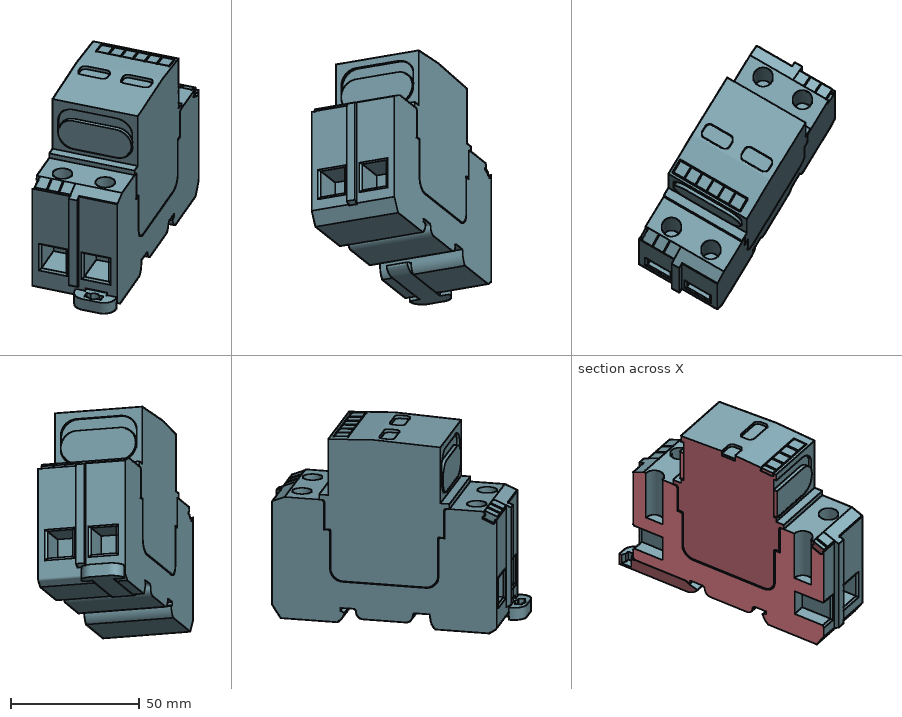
import cadquery as cq
import math

WIDTH = 35.6
POLE_PITCH = 17.8
POLE_OFFSET = POLE_PITCH / 2

FACE_Y = 45.0
HOUSING_TOP = 49.8
CHAMFER_START_Y = 39.9
CHAMFER_SLOPE = 0.41
CORNER_CUT = 0.2
RAIL_TOP = 6.0
RAIL_PAD_Z = 2.0
RAIL_PAD_HALF = 8.6
RAIL_PAD_SIDE_Y = 11.3
RAIL_PAD_SIDE_Z = 4.9
RAIL_PAD_ROOT_Y = 12.6
PAD_FLANK_MID = (10.5, 2.9)
PAD_FILLET_MID = (11.7, 5.7)
CLAW_WALL_Y = 17.5
CLAW_SHELF_Z = 4.8
CLAW_TIP = (16.0, 4.0)
CLAW_CURVE_MID = (17.1, 1.5)
CLAW_FOOT_Y = 18.7
CLIP_SIDE_WALL_Y = -18.1
CLIP_SIDE_EDGE = (-18.4, 4.1)
CLIP_SIDE_CURVE_MID = (-19.0, 2.0)
CLIP_SIDE_FOOT_Y = -20.5
BACK_BEVEL_Y = 41.5
BACK_BEVEL_Z = 5.4
FRONT_BEVEL_LENGTH = 3.0
FRONT_BEVEL_HEIGHT = 2.1
FRONT_BEVEL_BLEND = 0.6

RIB_WIDTH = 3.4
RIB_Y = 47.0
RIB_TIP_Z = {"front": 7.0, "back": 6.1}
RIB_UNDERCUT = 1.1
RIB_ROOT_DEPTH = 1.0

SCREW_HOLE_D = 7.7
SCREW_HOLE_Y = 35.0
SCREW_HOLE_DEPTH = 21.7
WIRE_MOUTH_W = 12.2
WIRE_MOUTH_H = 12.4
WIRE_W = 10.2
WIRE_H = 10.8
WIRE_Z = 16.2
WIRE_MOUTH_Z = 16.0
WIRE_FLARE_DEPTH = 0.6
WIRE_DEPTH = 13.8

HEAD_HALF = 22.5
RIDGE_Y = 4.4
RIDGE_Z = 75.9
HEAD_EDGE_Z = 74.9
FLANGE_HALF = 26.1
FLANGE_TOP = 51.9
NECK_HALF = 23.8
PLUG_HALF = 21.5
PLUG_LEDGE_Z = 37.9
PLUG_BOTTOM = 17.0
PLUG_CORNER_R = 4.9
MOUTH_R = 1.2
LEDGE_R = 0.6
CLEARANCE = 0.3

GRIP_LENGTH = 30.4
GRIP_HEIGHT = 13.0
GRIP_R = 6.3
GRIP_Z = 54.0
GRIP_PROUD = 0.5
GRIP_RECESS_LENGTH = 31.0
GRIP_RECESS_HEIGHT = 18.1
GRIP_RECESS_R = 6.6
GRIP_RECESS_Z = 53.8
GRIP_RECESS_DEPTH = 1.2

WINDOW_LENGTH = 12.2
WINDOW_WIDTH = 6.1
WINDOW_R = 2.0
WINDOW_RECESS = 1.5
WINDOW_THICKNESS = 1.0

TAG_GROOVE = 0.34
TAG_GROOVE_DEPTH = 0.3
TOP_TAGS = 6
TOP_TAG_PITCH = 5.0
TOP_STRIP_WIDTH = 5.4
TOP_STRIP_X = 1.4
TOP_STRIP_Y = 18.2
TOP_STRIP_DEPTH = 1.5
END_TAGS = 3
END_TAG_PITCH = 4.9
UPPER_HOOK_NECK = (40.2, 48.1)
UPPER_HOOK_TIP = (39.2, 47.4)
UPPER_HOOK_FOOT = (39.2, 47.0)
LOWER_HOOK_FOOT = (43.6, 45.0)
LOWER_HOOK_TIP = (44.4, 45.7)
LOWER_HOOK_NECK = (44.0, 46.3)
END_TAG_LIP_Z = 46.9

CLIP_TAB_X = 9.2
KEYHOLE_X = 9.1
CLIP_HEIGHT = 5.0
CLIP_BAR_WIDTH = 8.9
CLIP_TAB_WIDTH = 17.1
CLIP_TAB_BACK_Y = -45.5
CLIP_END_Y = -51.5
CLIP_CORNER_R = 5.0
CLIP_BACK_CORNER_R = 0.4
NOSE_FOOT_Y = -18.9
NOSE_BELLY_MID = (-16.8, 0.8)
NOSE_TIP_LOW = (-15.2, 2.2)
NOSE_TIP_MID = (-15.0, 2.8)
NOSE_TIP_HIGH = (-15.4, 3.3)
NOSE_ROOT_Y = -20.2
CLIP_SLOT_TOP = 5.9
CLIP_SLOT_FLARE = 1.0
KEYHOLE_Y = -48.1
KEYHOLE_D = 4.3
KEYHOLE_LENGTH = 6.9
KEYHOLE_WIDTH = 2.7
KEYHOLE_DEPTH = 3.9


def across(profile, width=WIDTH, middle=0.0):
    """Extrude a closed Y-Z profile along X, centred on X = middle."""
    return profile.extrude(width / 2, both=True).translate((middle, 0, 0))


def half_turn(body):
    """The same shape on the opposite end of the device."""
    return body.rotate((0, 0, 0), (0, 0, 1), 180)


def rounded_block(length, width, height, radius):
    """Block with rounded upright edges, standing on Z = 0."""
    return cq.Workplane("XY").rect(length, width).extrude(height).edges("|Z").fillet(radius)


def slope_z(y):
    """Height of the sloped shoulder of the housing at a distance y from the middle."""
    return HOUSING_TOP - CHAMFER_SLOPE * (y - CHAMFER_START_Y)


def plug(clearance):
    neck = NECK_HALF + clearance
    half = PLUG_HALF + clearance
    bottom = PLUG_BOTTOM - clearance
    ledge = PLUG_LEDGE_Z - clearance
    corner_r = PLUG_CORNER_R + clearance
    profile = (
        cq.Workplane("YZ")
        .moveTo(0, bottom)
        .lineTo(half - corner_r, bottom)
        .tangentArcPoint((half, bottom + corner_r), relative=False)
        .lineTo(half, ledge - LEDGE_R)
        .tangentArcPoint((half + LEDGE_R, ledge), relative=False)
        .lineTo(neck, ledge)
        .lineTo(neck, HOUSING_TOP - MOUTH_R)
        .tangentArcPoint((neck + MOUTH_R, HOUSING_TOP), relative=False)
        .lineTo(0, HOUSING_TOP)
        .mirrorY()
    )
    return across(profile)


def end_pad(length, height, radius, lower_z, back_y, front_y):
    """Rounded pad on the -Y face of the module, between two Y planes."""
    pad = rounded_block(length, height, back_y - front_y, radius)
    return pad.rotate((0, 0, 0), (1, 0, 0), 90).translate((0, back_y, lower_z + height / 2))


def grip():
    return end_pad(
        GRIP_LENGTH, GRIP_HEIGHT, GRIP_R, GRIP_Z, GRIP_RECESS_DEPTH - HEAD_HALF, -HEAD_HALF - GRIP_PROUD
    )


def grip_recess():
    return end_pad(
        GRIP_RECESS_LENGTH, GRIP_RECESS_HEIGHT, GRIP_RECESS_R, GRIP_RECESS_Z,
        GRIP_RECESS_DEPTH - HEAD_HALF, -HEAD_HALF,
    )


WINDOW_FLOOR_Z = RIDGE_Z - WINDOW_RECESS - WINDOW_THICKNESS


def window(pole_x, height):
    pane = rounded_block(WINDOW_LENGTH, WINDOW_WIDTH, height, WINDOW_R)
    return pane.translate((pole_x, 0, WINDOW_FLOOR_Z))


TOP_STRIP_LENGTH = TOP_TAGS * TOP_TAG_PITCH
TOP_SLOPE_DEG = math.degrees(math.atan2(RIDGE_Z - HEAD_EDGE_Z, HEAD_HALF - RIDGE_Y))
TOP_STRIP_Z = RIDGE_Z - (TOP_STRIP_Y - RIDGE_Y) * math.tan(math.radians(TOP_SLOPE_DEG))


def on_top_slope(body):
    """Tilt a body from Z = 0 onto the rear slope of the module's top, at the strip's place."""
    tilted = body.rotate((0, 0, 0), (1, 0, 0), -TOP_SLOPE_DEG)
    return tilted.translate((TOP_STRIP_X, TOP_STRIP_Y, TOP_STRIP_Z))


def grooved(strip, tags, pitch, first_x, groove):
    """Cut the grooves between neighbouring tags of a strip."""
    for i in range(1, tags):
        strip = strip.cut(groove.translate((first_x + i * pitch, 0, 0)))
    return strip


def top_strip():
    size = (TOP_STRIP_LENGTH, TOP_STRIP_WIDTH, TOP_STRIP_DEPTH)
    strip = cq.Workplane("XY").box(*size, centered=(True, True, False)).translate((0, 0, -TOP_STRIP_DEPTH))
    groove = cq.Workplane("XY").box(TAG_GROOVE, TOP_STRIP_WIDTH, 2 * TAG_GROOVE_DEPTH)
    return on_top_slope(grooved(strip, TOP_TAGS, TOP_TAG_PITCH, -TOP_STRIP_LENGTH / 2, groove))


def top_strip_recess():
    pocket = cq.Workplane("XY").box(
        TOP_STRIP_LENGTH + 2 * CLEARANCE, TOP_STRIP_WIDTH + 2 * CLEARANCE, 2 * TOP_STRIP_DEPTH
    )
    return on_top_slope(pocket)


END_STRIP_LENGTH = END_TAGS * END_TAG_PITCH
END_STRIP_X = -RIB_WIDTH / 2 - END_STRIP_LENGTH


def end_strip_profile():
    """Hooked section of the front strip: flush with the slope, wider at the bottom of its channel."""
    return (
        cq.Workplane("YZ")
        .moveTo(-CHAMFER_START_Y, HOUSING_TOP)
        .lineTo(-UPPER_HOOK_NECK[0], UPPER_HOOK_NECK[1])
        .lineTo(-UPPER_HOOK_TIP[0], UPPER_HOOK_TIP[1])
        .lineTo(-UPPER_HOOK_FOOT[0], UPPER_HOOK_FOOT[1])
        .lineTo(-LOWER_HOOK_FOOT[0], LOWER_HOOK_FOOT[1])
        .lineTo(-LOWER_HOOK_TIP[0], LOWER_HOOK_TIP[1])
        .lineTo(-LOWER_HOOK_NECK[0], LOWER_HOOK_NECK[1])
        .lineTo(-FACE_Y, END_TAG_LIP_Z)
        .lineTo(-FACE_Y, slope_z(FACE_Y))
        .close()
    )


def end_strip():
    strip = end_strip_profile().extrude(END_STRIP_LENGTH).translate((END_STRIP_X, 0, 0))
    groove = across(
        cq.Workplane("YZ").polyline([
            (-CHAMFER_START_Y, HOUSING_TOP),
            (-FACE_Y, slope_z(FACE_Y)),
            (-FACE_Y, slope_z(FACE_Y) - TAG_GROOVE_DEPTH),
            (-CHAMFER_START_Y, HOUSING_TOP - TAG_GROOVE_DEPTH),
        ]).close(),
        TAG_GROOVE,
    )
    return grooved(strip, END_TAGS, END_TAG_PITCH, END_STRIP_X, groove)


def end_strip_channel():
    """Channel for the front strip, open at the -X side and closed by the rib."""
    length = WIDTH / 2 - RIB_WIDTH / 2
    return end_strip_profile().extrude(length).translate((-WIDTH / 2, 0, 0))


def clip_bar():
    """Bar that slides in the housing and ends in the nose under the rail."""
    profile = (
        cq.Workplane("YZ")
        .moveTo(CLIP_TAB_BACK_Y, 0)
        .lineTo(NOSE_FOOT_Y, 0)
        .threePointArc(NOSE_BELLY_MID, NOSE_TIP_LOW)
        .threePointArc(NOSE_TIP_MID, NOSE_TIP_HIGH)
        .lineTo(*CLIP_SIDE_EDGE)
        .lineTo(NOSE_ROOT_Y, CLIP_HEIGHT)
        .lineTo(CLIP_TAB_BACK_Y, CLIP_HEIGHT)
        .close()
    )
    return across(profile, CLIP_BAR_WIDTH, POLE_OFFSET)


def clip():
    tab_length = CLIP_TAB_BACK_Y - CLIP_END_Y
    tab = (
        cq.Workplane("XY")
        .rect(CLIP_TAB_WIDTH, tab_length)
        .extrude(CLIP_HEIGHT)
        .edges("|Z and <Y")
        .fillet(CLIP_CORNER_R)
        .edges("|Z and >Y")
        .fillet(CLIP_BACK_CORNER_R)
        .translate((CLIP_TAB_X, (CLIP_TAB_BACK_Y + CLIP_END_Y) / 2, 0))
    )
    keyhole_floor = cq.Workplane("XY", origin=(KEYHOLE_X, KEYHOLE_Y, CLIP_HEIGHT - KEYHOLE_DEPTH))
    round_part = keyhole_floor.circle(KEYHOLE_D / 2).extrude(KEYHOLE_DEPTH)
    long_part = keyhole_floor.rect(KEYHOLE_LENGTH, KEYHOLE_WIDTH).extrude(KEYHOLE_DEPTH)
    return tab.union(clip_bar()).cut(round_part).cut(long_part)


def clip_slot():
    """Slot for the clip bar, with a ceiling that rises towards the terminal face."""
    flare = across(
        cq.Workplane("YZ").polyline([
            (-FACE_Y, 0),
            (-FACE_Y, CLIP_SLOT_TOP),
            (-FACE_Y + CLIP_SLOT_FLARE, CLIP_HEIGHT),
            (-FACE_Y + CLIP_SLOT_FLARE, 0),
        ]).close(),
        CLIP_BAR_WIDTH,
        POLE_OFFSET,
    )
    return clip_bar().union(flare)


def housing_block():
    """Side outline of the housing, from the back bevel over the rail notch to the front face."""
    blend = FRONT_BEVEL_BLEND / math.hypot(FRONT_BEVEL_LENGTH, FRONT_BEVEL_HEIGHT)
    profile = (
        cq.Workplane("YZ")
        .moveTo(BACK_BEVEL_Y, 0)
        .lineTo(CLAW_FOOT_Y, 0)
        .threePointArc(CLAW_CURVE_MID, CLAW_TIP)
        .lineTo(CLAW_WALL_Y, CLAW_SHELF_Z)
        .lineTo(CLAW_WALL_Y, RAIL_TOP)
        .lineTo(RAIL_PAD_ROOT_Y, RAIL_TOP)
        .threePointArc(PAD_FILLET_MID, (RAIL_PAD_SIDE_Y, RAIL_PAD_SIDE_Z))
        .threePointArc(PAD_FLANK_MID, (RAIL_PAD_HALF, RAIL_PAD_Z))
        .lineTo(-RAIL_PAD_HALF, RAIL_PAD_Z)
        .threePointArc((-PAD_FLANK_MID[0], PAD_FLANK_MID[1]), (-RAIL_PAD_SIDE_Y, RAIL_PAD_SIDE_Z))
        .threePointArc((-PAD_FILLET_MID[0], PAD_FILLET_MID[1]), (-RAIL_PAD_ROOT_Y, RAIL_TOP))
        .lineTo(CLIP_SIDE_WALL_Y, RAIL_TOP)
        .lineTo(*CLIP_SIDE_EDGE)
        .threePointArc(CLIP_SIDE_CURVE_MID, (CLIP_SIDE_FOOT_Y, 0))
        .lineTo(FRONT_BEVEL_LENGTH - FACE_Y, 0)
        .lineTo(blend * FRONT_BEVEL_LENGTH - FACE_Y, (1 - blend) * FRONT_BEVEL_HEIGHT)
        .tangentArcPoint((-FACE_Y, FRONT_BEVEL_HEIGHT + FRONT_BEVEL_BLEND), relative=False)
        .lineTo(-FACE_Y, slope_z(FACE_Y) - CORNER_CUT)
        .lineTo(CORNER_CUT - FACE_Y, slope_z(FACE_Y - CORNER_CUT))
        .lineTo(-CHAMFER_START_Y, HOUSING_TOP)
        .lineTo(CHAMFER_START_Y, HOUSING_TOP)
        .lineTo(FACE_Y - CORNER_CUT, slope_z(FACE_Y - CORNER_CUT))
        .lineTo(FACE_Y, slope_z(FACE_Y) - CORNER_CUT)
        .lineTo(FACE_Y, BACK_BEVEL_Z)
        .close()
    )
    return across(profile)


def rib(tip_z):
    """Rib between the poles on the front face, topped by the extended slope."""
    root = FACE_Y - RIB_ROOT_DEPTH
    profile = cq.Workplane("YZ").polyline([
        (-root, slope_z(root)),
        (-RIB_Y, slope_z(RIB_Y)),
        (-RIB_Y, tip_z),
        (-FACE_Y, tip_z - RIB_UNDERCUT),
        (-root, tip_z - RIB_UNDERCUT),
    ]).close()
    return across(profile, RIB_WIDTH)


def wire_entry(pole_x):
    """Square pocket with a flared mouth in the front face."""
    front = cq.Workplane("XZ", origin=(pole_x, -FACE_Y, 0))
    mouth = (
        front.center(0, WIRE_MOUTH_Z)
        .rect(WIRE_MOUTH_W, WIRE_MOUTH_H)
        .workplane(offset=-WIRE_FLARE_DEPTH)
        .center(0, WIRE_Z - WIRE_MOUTH_Z)
        .rect(WIRE_W, WIRE_H)
        .loft()
    )
    return mouth.union(front.center(0, WIRE_Z).rect(WIRE_W, WIRE_H).extrude(-WIRE_DEPTH))


def screw_hole(pole_x):
    bore = cq.Workplane("XY", origin=(pole_x, -SCREW_HOLE_Y, HOUSING_TOP - SCREW_HOLE_DEPTH))
    return bore.circle(SCREW_HOLE_D / 2).extrude(SCREW_HOLE_DEPTH)


def build_housing():
    body = housing_block().cut(plug(CLEARANCE))
    body = body.union(rib(RIB_TIP_Z["front"])).union(half_turn(rib(RIB_TIP_Z["back"])))
    for pole_x in (-POLE_OFFSET, POLE_OFFSET):
        for cutter in (wire_entry(pole_x), screw_hole(pole_x)):
            body = body.cut(cutter).cut(half_turn(cutter))
    channel = end_strip_channel()
    return body.cut(channel).cut(half_turn(channel)).cut(clip_slot())


def build_module():
    head = across(
        cq.Workplane("YZ").polyline([
            (-HEAD_HALF, HOUSING_TOP),
            (-HEAD_HALF, HEAD_EDGE_Z),
            (RIDGE_Y, RIDGE_Z),
            (HEAD_HALF, HEAD_EDGE_Z),
            (HEAD_HALF, HOUSING_TOP),
        ]).close()
    )
    flange_height = FLANGE_TOP - HOUSING_TOP
    flange = cq.Workplane("XY").box(WIDTH, 2 * FLANGE_HALF, flange_height)
    flange = flange.translate((0, 0, HOUSING_TOP + flange_height / 2))
    body = plug(0).union(flange).union(head)
    body = body.cut(grip_recess()).cut(half_turn(grip_recess())).cut(top_strip_recess())
    for pole_x in (-POLE_OFFSET, POLE_OFFSET):
        body = body.cut(window(pole_x, RIDGE_Z - WINDOW_FLOOR_Z))
    return body


housing = build_housing()
module = build_module()
rail_clip = clip()
module_strip = top_strip()
housing_strips = [end_strip(), half_turn(end_strip())]
grips = [grip(), half_turn(grip())]
windows = [window(pole_x, WINDOW_THICKNESS) for pole_x in (-POLE_OFFSET, POLE_OFFSET)]

result = cq.Compound.makeCompound([
    housing.val(),
    module.val(),
    rail_clip.val(),
    module_strip.val(),
    *[strip.val() for strip in housing_strips],
    *[pad.val() for pad in grips],
    *[pane.val() for pane in windows],
])